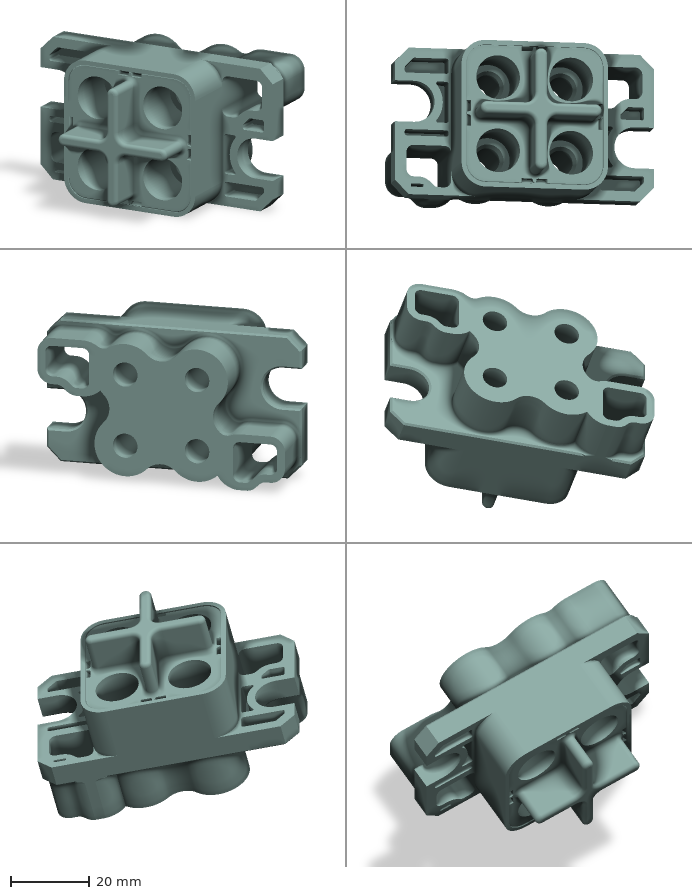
import cadquery as cq
import math

plate_length = 67.2
plate_height = 38.0
plate_corner = 3.6
plate_thickness = 6.25
plate_back_chamfer = 0.5

boss_length = 14.6
boss_radius = 6.25

rear_length = 12.8
lobe_radius = 8.1
lobe_valley_radius = 5.25
block_wall = 2.1
block_shoulder_radius = 6.8
block_inner_x = 14.0
notch_radius = 2.7
rear_root_radius = 0.7

hole_pitch = 18.95
bore_radius = 5.65
throat_radius = 4.0
through_radius = 3.2
throat_depth = 1.35

slot_radius = 5.3
slot_centre_x = 28.6
slot_centre_z = 5.1

window_outer_x = 30.6
window_height = 10.75
window_sill_rise = 2.6
window_sill_end_x = 25.7
window_radius = 1.8
window_sill_radius = 4.7
left_window_top = -6.2
right_window_top = 15.65

pocket_depth = 5.0
pocket_draft = 2.0
pocket_radius = 0.55
pocket_inner_x = 19.7
pocket_outer_x = 31.05
crescent_tip_x = 22.9
corner_pocket_top = 16.4
corner_pocket_bottom = 12.5
corner_pocket_cut_x = 28.7
corner_pocket_cut_z = 14.0
groove_top = -2.15
groove_bottom = -3.75
short_groove_x = 27.8
short_groove_z = -16.6
short_groove_length = 3.3
short_groove_width = 0.8
short_groove_radius = 0.3
wing_pocket_top = 5.4
wing_pocket_bottom = 2.1
wing_pocket_inner_x = 24.9
wing_pocket_cut_x = 26.9
wing_pocket_cut_z = 3.35
crescent_wall = 2.15

insert_gap_wall = 1.2
insert_recess = 0.2
insert_chamfer = 0.2

arm_reach = 15.65
arm_half_width = 1.55
arm_inner_radius = 2.6
arm_height = 9.9
arm_tip_radius = 1.0
arm_root_radius = 1.0

pry_width = 6.7
pry_floor_width = 5.65
pry_reach = 1.3
pry_depth = 2.0
pry_floor_reach = 0.15
tongue_root_width = 1.15
tongue_tip_width = 0.55
tongue_reach = 1.1

tolerance = 0.01
half_length = plate_length / 2
half_height = plate_height / 2
plate_front = boss_length
plate_back = plate_front + plate_thickness
rear_end = plate_back + rear_length
insert_half = half_height - insert_gap_wall
insert_radius = boss_radius - insert_gap_wall
half_pitch = hole_pitch / 2
hole_centres = [(sx * half_pitch, sz * half_pitch) for sx in (-1, 1) for sz in (-1, 1)]
tan_eighth_turn = math.tan(math.pi / 8)


def face_plane(y):
    """Workplane at depth y; a negative extrusion runs toward +Y."""
    return cq.Workplane("XZ", origin=(0, y, 0))


def rounded_outline(y, corners):
    """Closed outline through (x, z, radius) corners, each rounded by a tangent arc."""
    outline = face_plane(y)
    for i, (x, z, radius) in enumerate(corners):
        corner = cq.Vector(x, z)
        before = cq.Vector(*corners[i - 1][:2])
        after = cq.Vector(*corners[(i + 1) % len(corners)][:2])
        to_before = (before - corner).normalized()
        to_after = (after - corner).normalized()
        half_angle = to_before.getAngle(to_after) / 2
        tangent = radius / math.tan(half_angle)
        bisector = (to_before + to_after).normalized()
        start = corner + to_before * tangent
        middle = corner + bisector * (radius / math.sin(half_angle) - radius)
        end = corner + to_after * tangent
        outline = outline.lineTo(start.x, start.y) if i else outline.moveTo(start.x, start.y)
        if radius > 0:
            outline = outline.threePointArc((middle.x, middle.y), (end.x, end.y))
    return outline.close()


def cylinder(centre, radius, y_start, y_end):
    return face_plane(y_start).center(*centre).circle(radius).extrude(y_start - y_end)


def half_turn(body):
    """Copy turned 180 degrees about the Y axis."""
    return body.rotate((0, 0, 0), (0, 1, 0), 180)


def flared_root(body, face_y, root_radius, foot_length, rises=1):
    """Body standing on the plane y = face_y, with a root fillet there and a straight foot below it.

    The body rises toward +Y (rises = 1) or -Y (rises = -1); the foot has the flared outline.
    """
    slab_centre = (0, face_y - rises * plate_length / 2, 0)
    slab = cq.Workplane("XZ").box(2 * plate_length, 2 * plate_length, plate_length).translate(slab_centre)
    joined = slab.union(body)
    base = joined.faces("|Y").faces(cq.selectors.NearestToPointSelector((plate_length, face_y, 0)))
    root_edges = base.val().innerWires()[0].Edges()
    flared = cq.Workplane(joined.val().fillet(root_radius, root_edges)).cut(slab)
    footprint = flared.faces("<Y" if rises > 0 else ">Y").val()
    foot = cq.Solid.extrudeLinear(footprint, cq.Vector(0, -rises * foot_length, 0))
    return flared.union(cq.Workplane(foot))


def make_plate():
    plate = face_plane(plate_front).rect(plate_length, plate_height).extrude(-plate_thickness)
    plate = plate.edges("|Y").chamfer(plate_corner)
    slot = cylinder((-slot_centre_x, slot_centre_z), slot_radius, plate_front, plate_back)
    slot = slot.union(
        face_plane(plate_front)
        .center(-slot_centre_x - half_length / 2, slot_centre_z)
        .rect(half_length, 2 * slot_radius)
        .extrude(-plate_thickness)
    )
    plate = plate.cut(slot).cut(half_turn(slot))
    return plate.faces(">Y").edges().chamfer(plate_back_chamfer)


def make_boss():
    boss = face_plane(0).rect(plate_height, plate_height).extrude(-boss_length)
    return boss.edges("|Y").fillet(boss_radius)


def window_prism(side, top, y_start, y_end, inner_x, inner_radius, grow=0.0):
    """Prism of a stepped window on the -X (side = -1) or +X (side = 1) wing, grown outward."""
    bottom = top - window_height
    sill = bottom + window_sill_rise
    sill_end_x = window_sill_end_x + grow * tan_eighth_turn
    slope_end_x = sill_end_x - window_sill_rise
    outer_x = window_outer_x + grow
    outer_radius = window_radius + grow
    corners = [
        (side * inner_x, top + grow, inner_radius),
        (side * outer_x, top + grow, outer_radius),
        (side * outer_x, sill - grow, outer_radius),
        (side * sill_end_x, sill - grow, window_sill_radius - grow),
        (side * slope_end_x, bottom - grow, outer_radius),
        (side * inner_x, bottom - grow, inner_radius),
    ]
    return rounded_outline(y_start, corners).extrude(y_start - y_end)


def make_lobes():
    """Four round lobes about the holes with a tangent hollow between each two neighbours."""
    reach = lobe_radius + lobe_valley_radius
    valley_offset = half_pitch + math.sqrt(reach**2 - half_pitch**2)
    tangent_along = half_pitch * lobe_valley_radius / reach
    tangent_out = valley_offset - (valley_offset - half_pitch) * lobe_valley_radius / reach
    crown = half_pitch + lobe_radius / math.sqrt(2)
    outline = face_plane(plate_back).moveTo(-tangent_along, tangent_out)
    for quarter in range(4):
        cos_q = round(math.cos(quarter * math.pi / 2))
        sin_q = round(math.sin(quarter * math.pi / 2))

        def turned(x, z):
            return (x * cos_q + z * sin_q, z * cos_q - x * sin_q)

        valley_floor = turned(0, valley_offset - lobe_valley_radius)
        outline = outline.threePointArc(valley_floor, turned(tangent_along, tangent_out))
        outline = outline.threePointArc(turned(crown, crown), turned(tangent_out, tangent_along))
    return outline.close().extrude(plate_back - rear_end)


def notch_fill(block_centre, block_radius, lobe_centre):
    """Web between a block corner and a lobe, hollowed by a cylinder tangent to both."""
    a = cq.Vector(*block_centre)
    b = cq.Vector(*lobe_centre)
    reach_a = block_radius + notch_radius
    reach_b = lobe_radius + notch_radius
    span = (b - a).Length
    along = (span**2 + reach_a**2 - reach_b**2) / (2 * span)
    rise = math.sqrt(reach_a**2 - along**2)
    axis = (b - a).normalized()
    upward = cq.Vector(-axis.y, axis.x)
    if upward.y < 0:
        upward = upward * -1
    hollow = a + axis * along + upward * rise
    triangle = [(p.x, p.y) for p in (a, b, hollow)]
    web = face_plane(plate_back).polyline(triangle).close().extrude(plate_back - rear_end)
    return web.cut(cylinder((hollow.x, hollow.y), notch_radius, plate_back, rear_end))


def make_side_block(side, top, lobe_side):
    block = window_prism(side, top, plate_back, rear_end, block_inner_x, block_shoulder_radius, block_wall)
    shoulder_centre = (
        side * (block_inner_x + block_shoulder_radius),
        top + block_wall - block_shoulder_radius,
    )
    lobe_centre = (side * half_pitch, lobe_side * half_pitch)
    return block.union(notch_fill(shoulder_centre, block_shoulder_radius, lobe_centre))


def make_rear():
    rear = make_lobes()
    rear = rear.union(make_side_block(-1, left_window_top, -1))
    rear = rear.union(make_side_block(1, right_window_top, 1))
    rear = flared_root(rear.clean(), plate_back, rear_root_radius, plate_back_chamfer)
    return rear.intersect(
        face_plane(plate_front).rect(plate_length, plate_height).extrude(plate_front - rear_end)
    )


def bore_holes(housing):
    """Through holes that start as cone-shaped throats in the socket floor."""
    for centre in hole_centres:
        throat = cq.Solid.makeCone(
            throat_radius,
            through_radius,
            throat_depth,
            cq.Vector(centre[0], boss_length, centre[1]),
            cq.Vector(0, 1, 0),
        )
        housing = housing.cut(cylinder(centre, through_radius, boss_length, rear_end)).cut(throat)
    return housing


def drafted(outline):
    return outline.extrude(-pocket_depth, taper=pocket_draft)


def corner_pocket():
    """Pocket with one cut corner beside the upper -X corner of the plate."""
    corners = [
        (-pocket_inner_x, corner_pocket_top, pocket_radius),
        (-corner_pocket_cut_x, corner_pocket_top, pocket_radius),
        (-pocket_outer_x, corner_pocket_cut_z, pocket_radius),
        (-pocket_outer_x, corner_pocket_bottom, pocket_radius),
        (-pocket_inner_x, corner_pocket_bottom, pocket_radius),
    ]
    return drafted(rounded_outline(plate_front, corners))


def straight_pocket(inner_x, outer_x, bottom, top, radius):
    """Rectangular pocket on the -X wing with rounded corners."""
    corners = [
        (-inner_x, top, radius),
        (-outer_x, top, radius),
        (-outer_x, bottom, radius),
        (-inner_x, bottom, radius),
    ]
    return drafted(rounded_outline(plate_front, corners))


def crescent_pocket():
    """Pocket between the boss and the -X slot, hollowed concentrically with the slot."""
    bottom = slot_centre_z - slot_radius
    top = slot_centre_z + slot_radius
    pocket = straight_pocket(pocket_inner_x, crescent_tip_x, bottom, top, pocket_radius)
    wall_radius = slot_radius + crescent_wall
    wall = cq.Solid.makeCone(
        wall_radius,
        wall_radius + pocket_depth * math.tan(math.radians(pocket_draft)),
        pocket_depth,
        cq.Vector(-slot_centre_x, plate_front, slot_centre_z),
        cq.Vector(0, 1, 0),
    )
    return pocket.cut(cq.Workplane(wall))


def long_groove():
    return straight_pocket(pocket_inner_x, pocket_outer_x, groove_bottom, groove_top, pocket_radius)


def short_groove():
    return straight_pocket(
        short_groove_x - short_groove_length / 2,
        short_groove_x + short_groove_length / 2,
        short_groove_z - short_groove_width / 2,
        short_groove_z + short_groove_width / 2,
        short_groove_radius,
    )


def wing_pocket():
    """Pocket with one cut corner between the +X window and the +X slot."""
    corners = [
        (pocket_outer_x, wing_pocket_top, pocket_radius),
        (wing_pocket_cut_x, wing_pocket_top, pocket_radius),
        (wing_pocket_inner_x, wing_pocket_cut_z, pocket_radius),
        (wing_pocket_inner_x, wing_pocket_bottom, pocket_radius),
        (pocket_outer_x, wing_pocket_bottom, pocket_radius),
    ]
    return drafted(rounded_outline(plate_front, corners))


def insert_socket():
    socket = face_plane(0).rect(2 * insert_half, 2 * insert_half).extrude(-boss_length)
    return socket.edges("|Y").fillet(insert_radius)


def make_housing():
    housing = make_plate().union(make_boss()).union(make_rear())
    for side, top in ((-1, left_window_top), (1, right_window_top)):
        housing = housing.cut(window_prism(side, top, plate_front, rear_end, half_height, window_radius))
    for pocket in (corner_pocket(), crescent_pocket()):
        housing = housing.cut(pocket).cut(half_turn(pocket))
    for pocket in (long_groove(), short_groove(), wing_pocket()):
        housing = housing.cut(pocket)
    return bore_holes(housing.cut(insert_socket()))


def make_plug():
    plug = face_plane(insert_recess).rect(2 * insert_half, 2 * insert_half)
    plug = plug.extrude(insert_recess - boss_length).edges("|Y").fillet(insert_radius)
    return plug.faces("<Y").chamfer(insert_chamfer)


def pry_notch():
    """Tapered notch at the +Z edge of the plug face."""
    end_slope = (pry_width - pry_floor_width) / 2
    notch = cq.Solid.makeWedge(
        pry_width, pry_depth, pry_reach, end_slope, 0, pry_width - end_slope, pry_floor_reach
    )
    return cq.Workplane(notch).translate((-pry_width / 2, insert_recess, insert_half - pry_reach))


def pry_tongue():
    """Tapered tongue that divides the +Z pry notch in line with the cross arm."""
    root_z = insert_half - pry_reach
    points = [
        (-tongue_root_width / 2, root_z),
        (-tongue_tip_width / 2, root_z + tongue_reach),
        (tongue_tip_width / 2, root_z + tongue_reach),
        (tongue_root_width / 2, root_z),
    ]
    return face_plane(insert_recess).polyline(points).close().extrude(-pry_depth)


def make_cross():
    """Cross of two round-ended walls, rounded at the tip, in the corners and at the root."""
    wall_outline = face_plane(-arm_height)
    wall_height = arm_height + insert_recess
    cross = wall_outline.slot2D(2 * arm_reach, 2 * arm_half_width).extrude(-wall_height)
    cross = cross.union(wall_outline.slot2D(2 * arm_reach, 2 * arm_half_width, 90).extrude(-wall_height))
    crossing = cq.selectors.BoxSelector(
        (-arm_half_width - tolerance, -arm_height, -arm_half_width - tolerance),
        (arm_half_width + tolerance, insert_recess, arm_half_width + tolerance),
    )
    cross = cross.clean().edges("|Y").edges(crossing).fillet(arm_inner_radius)
    cross = cross.faces("<Y").edges().fillet(arm_tip_radius)
    return flared_root(cross, insert_recess, arm_root_radius, pry_depth, -1)


def make_insert():
    insert = make_plug()
    notch = pry_notch().cut(pry_tongue())
    for quarter in range(4):
        insert = insert.cut(notch.rotate((0, 0, 0), (0, 1, 0), 90 * quarter))
    insert = insert.union(make_cross())
    for centre in hole_centres:
        insert = insert.cut(cylinder(centre, bore_radius, insert_recess, boss_length))
    return insert


housing = make_housing()
insert = make_insert()

result = cq.Compound.makeCompound([housing.solids().val(), insert.solids().val()])